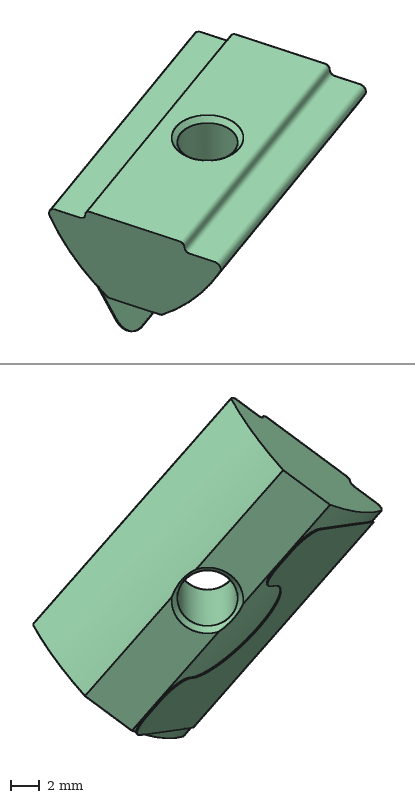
import cadquery as cq
import math

length = 22.0
height = 7.17
body_half_width = 6.73
raised_half_width = 3.9
step_height = 0.81
step_radius = step_height / 2
lip_radius = 0.5
flank_radius = 15.4
flank_start_angle = math.radians(25.5)

hole_diameter = 4.2
countersink_diameter = 5.0
countersink_depth = (countersink_diameter - hole_diameter) / 2

spring_left = -6.8
spring_top = -1.58
spring_bottom = -11.55
spring_slope = math.radians(60)
spring_thickness = 0.1
spring_width = 20.02
notch_width = 8.98
notch_depth = 7.05
leg_corner_radius = 2.0


def on_circle(center, radius, angle):
    """Point on a circle at an angle measured downward from +X."""
    return center[0] + radius * math.cos(angle), center[1] - radius * math.sin(angle)


def mirrored(point):
    return -point[0], point[1]


def make_body():
    lip_center = (body_half_width - lip_radius, -step_height - lip_radius)
    lip_start = (lip_center[0], -step_height)
    lip_side = (body_half_width, lip_center[1])
    lip_end = on_circle(lip_center, lip_radius, flank_start_angle)

    flank_center = on_circle(lip_center, lip_radius - flank_radius, flank_start_angle)
    flank_end_angle = math.asin((flank_center[1] + height) / flank_radius)
    flank_middle = on_circle(flank_center, flank_radius, (flank_start_angle + flank_end_angle) / 2)
    flank_end = on_circle(flank_center, flank_radius, flank_end_angle)

    pad_edge = (raised_half_width - step_radius, 0)
    step_middle = (raised_half_width, -step_radius)
    step_end = (raised_half_width + step_radius, -step_height)

    profile = (
        cq.Workplane("XZ", origin=(0, length / 2, 0))
        .moveTo(*mirrored(pad_edge))
        .lineTo(*pad_edge)
        .tangentArcPoint(step_middle, relative=False)
        .tangentArcPoint(step_end, relative=False)
        .lineTo(*lip_start)
        .threePointArc(lip_side, lip_end)
        .threePointArc(flank_middle, flank_end)
        .lineTo(*mirrored(flank_end))
        .threePointArc(mirrored(flank_middle), mirrored(lip_end))
        .threePointArc(mirrored(lip_side), mirrored(lip_start))
        .lineTo(*mirrored(step_end))
        .tangentArcPoint(mirrored(step_middle), relative=False)
        .tangentArcPoint(mirrored(pad_edge), relative=False)
        .close()
    )
    return profile.extrude(length)


def make_hole():
    """Core hole with a countersink at each end, as one cutting solid."""
    hole_radius = hole_diameter / 2
    countersink_radius = countersink_diameter / 2
    return (
        cq.Workplane("XZ")
        .moveTo(0, 0)
        .lineTo(countersink_radius, 0)
        .lineTo(hole_radius, -countersink_depth)
        .lineTo(hole_radius, countersink_depth - height)
        .lineTo(countersink_radius, -height)
        .lineTo(0, -height)
        .close()
        .revolve(360, (0, 0, 0), (0, 1, 0))
    )


def make_spring():
    spring_length = (spring_top - spring_bottom) / math.sin(spring_slope)
    plane = cq.Plane(
        origin=(spring_left, 0, spring_top),
        xDir=(math.cos(spring_slope), 0, -math.sin(spring_slope)),
        normal=(math.sin(spring_slope), 0, math.cos(spring_slope)),
    )
    notch_radius = notch_width / 2
    notch_center = spring_length - notch_depth + notch_radius
    leaf = (
        cq.Workplane(plane)
        .moveTo(0, -spring_width / 2)
        .lineTo(spring_length, -spring_width / 2)
        .lineTo(spring_length, -notch_radius)
        .lineTo(notch_center, -notch_radius)
        .threePointArc((notch_center - notch_radius, 0), (notch_center, notch_radius))
        .lineTo(spring_length, notch_radius)
        .lineTo(spring_length, spring_width / 2)
        .lineTo(0, spring_width / 2)
        .close()
        .extrude(spring_thickness)
    )
    leg_corners = [
        (spring_length, side * half_width, spring_thickness / 2)
        for side in (-1, 1)
        for half_width in (notch_radius, spring_width / 2)
    ]
    for corner in leg_corners:
        nearest = cq.selectors.NearestToPointSelector(plane.toWorldCoords(corner).toTuple())
        leaf = leaf.edges(nearest).fillet(leg_corner_radius)
    return leaf


result = make_body().cut(make_hole()).union(make_spring())